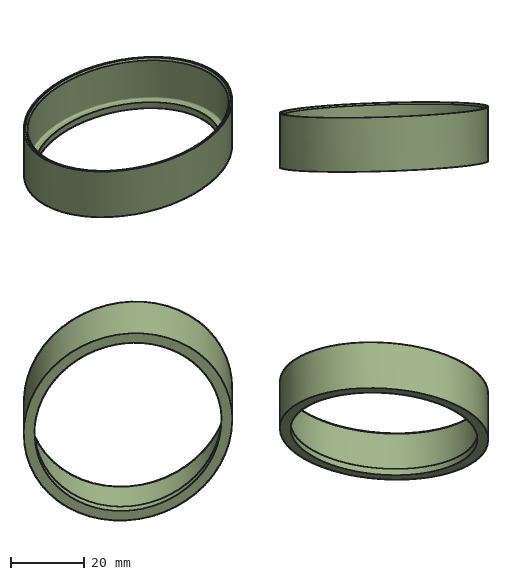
import cadquery as cq
import math

outer_diameter = 57.0
total_height = 25.3
slant_angle = 10.0

wall_thickness = 1.0
lip_width = 2.95
lip_height = 2.05
rim_chamfer = 0.5
ledge_fillet = 0.5

outer_radius = outer_diameter / 2
bore_radius = outer_radius - wall_thickness
opening_radius = outer_radius - lip_width
slant_rise = outer_diameter * math.tan(math.radians(slant_angle))
wall_height = total_height - slant_rise


def slanted_cylinder(radius, bottom, height):
    """Vertical cylinder with slanted ends; bottom and height are measured at its axis."""
    half_rise = radius * math.tan(math.radians(slant_angle))
    return (
        cq.Workplane("XZ")
        .moveTo(-radius, bottom - half_rise)
        .lineTo(radius, bottom + half_rise)
        .lineTo(radius, bottom + height + half_rise)
        .lineTo(-radius, bottom + height - half_rise)
        .close()
        .extrude(radius, both=True)
        .intersect(
            cq.Workplane("XY", origin=(0, 0, bottom - half_rise))
            .circle(radius)
            .extrude(height + 2 * half_rise)
        )
    )


bore = slanted_cylinder(bore_radius, lip_height, wall_height - lip_height)
slant_normal = cq.Vector(-math.sin(math.radians(slant_angle)), 0, math.cos(math.radians(slant_angle)))
bore = bore.faces(cq.selectors.DirectionMinMaxSelector(slant_normal, False)).edges().fillet(ledge_fillet)

opening = slanted_cylinder(opening_radius, 0, wall_height)

ring = slanted_cylinder(outer_radius, 0, wall_height).cut(bore).cut(opening)

rim = ring.faces(cq.selectors.DirectionMinMaxSelector(slant_normal, True))
inner_rim_edges = rim.wires(cq.selectors.LengthNthSelector(0)).edges()
result = inner_rim_edges.chamfer(rim_chamfer)